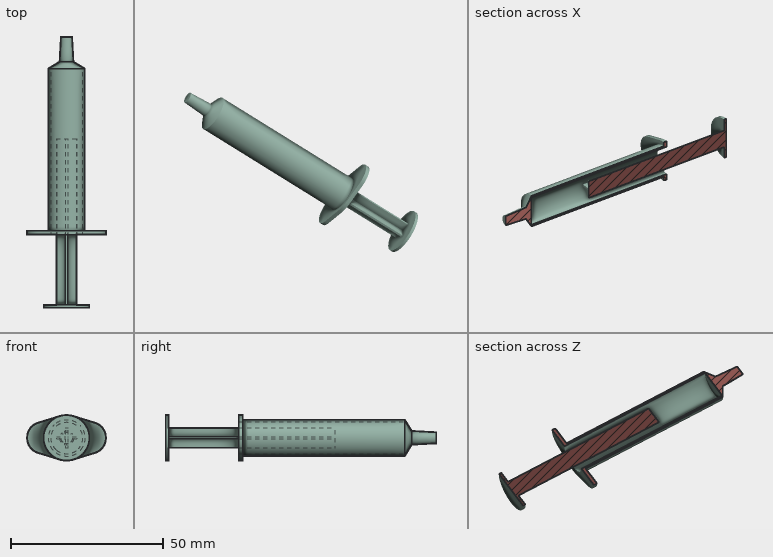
import cadquery as cq
import math

LENGTH = 88.9

DISC_DIAMETER = 15.0
DISC_THICKNESS = 1.0
ROD_DIAMETER = 6.6
RIB_THICKNESS = 0.7

FLANGE_WIDTH = 26.0
FLANGE_HEIGHT = 15.0
FLANGE_THICKNESS = 1.3
FLANGE_START = 24.0
CROWN_HALF_WIDTH = 2.5
END_ARC_X = 9.0
END_ARC_Z = 5.1

BARREL_DIAMETER = 12.0
BORE_DIAMETER = 10.4
SHOULDER_LENGTH = 2.2
NOZZLE_LENGTH = 8.2
NOZZLE_BASE_DIAMETER = 4.6
NOZZLE_TIP_DIAMETER = 3.7

BARREL_START = FLANGE_START + FLANGE_THICKNESS
NOZZLE_START = LENGTH - NOZZLE_LENGTH
SHOULDER_START = NOZZLE_START - SHOULDER_LENGTH
TRAVEL = FLANGE_START - DISC_THICKNESS
ROD_END = SHOULDER_START - TRAVEL


def plane_at(y):
    """Sketch plane across the axis at y; local x is X, local y is Z, and cylinders grow toward -Y."""
    return cq.Workplane("XZ", origin=(0, y, 0))


def make_barrel():
    """Hollow tube with a conical shoulder and a tapered nozzle, revolved about Y."""
    outside = [
        (BARREL_DIAMETER / 2, BARREL_START),
        (BARREL_DIAMETER / 2, SHOULDER_START),
        (NOZZLE_BASE_DIAMETER / 2, NOZZLE_START),
        (NOZZLE_TIP_DIAMETER / 2, LENGTH),
    ]
    inside = [
        (0, LENGTH),
        (0, SHOULDER_START),
        (BORE_DIAMETER / 2, SHOULDER_START),
        (BORE_DIAMETER / 2, BARREL_START),
    ]
    profile = cq.Workplane("XY").polyline(outside + inside).close()
    return profile.revolve(360, (0, 0, 0), (0, 1, 0))


def make_flange():
    """Oblong finger plate: arched top and bottom, straight sloping sides and round ends."""
    crown_z = math.sqrt((FLANGE_HEIGHT / 2) ** 2 - CROWN_HALF_WIDTH**2)
    outline = (
        plane_at(BARREL_START)
        .moveTo(-CROWN_HALF_WIDTH, crown_z)
        .threePointArc((0, FLANGE_HEIGHT / 2), (CROWN_HALF_WIDTH, crown_z))
        .lineTo(END_ARC_X, END_ARC_Z)
        .threePointArc((FLANGE_WIDTH / 2, 0), (END_ARC_X, -END_ARC_Z))
        .lineTo(CROWN_HALF_WIDTH, -crown_z)
        .threePointArc((0, -FLANGE_HEIGHT / 2), (-CROWN_HALF_WIDTH, -crown_z))
        .lineTo(-END_ARC_X, -END_ARC_Z)
        .threePointArc((-FLANGE_WIDTH / 2, 0), (-END_ARC_X, END_ARC_Z))
        .close()
    )
    plate = outline.extrude(FLANGE_THICKNESS)
    hole = plane_at(BARREL_START).circle(BORE_DIAMETER / 2).extrude(FLANGE_THICKNESS)
    return plate.cut(hole)


def make_plunger():
    """Thumb disc carrying a rod of two crossed ribs with rounded outer edges."""
    disc = plane_at(DISC_THICKNESS).circle(DISC_DIAMETER / 2).extrude(DISC_THICKNESS)
    rod_length = ROD_END - DISC_THICKNESS
    upright = plane_at(ROD_END).rect(RIB_THICKNESS, ROD_DIAMETER).extrude(rod_length)
    level = plane_at(ROD_END).rect(ROD_DIAMETER, RIB_THICKNESS).extrude(rod_length)
    envelope = plane_at(ROD_END).circle(ROD_DIAMETER / 2).extrude(rod_length)
    return disc.union(upright.union(level).intersect(envelope))


barrel = make_barrel()
flange = make_flange()
plunger = make_plunger()

result = cq.Compound.makeCompound([barrel.val(), flange.val(), plunger.val()])